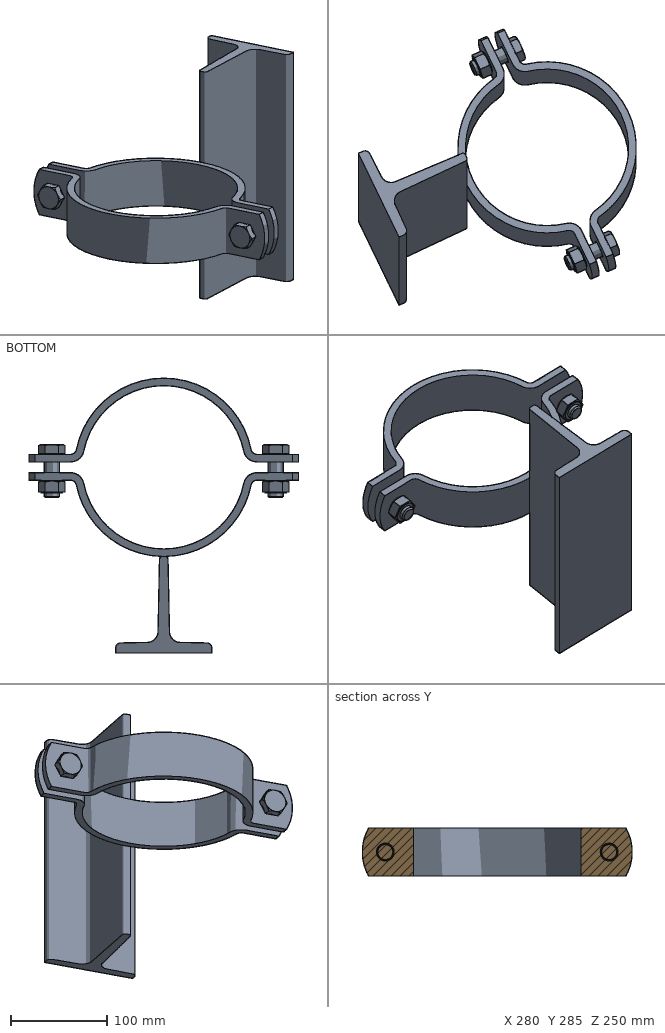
import cadquery as cq
import math

BAND_THICKNESS = 8.0
BAND_HEIGHT = 50.0
RING_OUTER_RADIUS = 92.5
RING_INNER_RADIUS = RING_OUTER_RADIUS - BAND_THICKNESS
CLAMP_GAP = 11.0
CLAMP_LENGTH = 280.0
EAR_END_RADIUS = 50.0
BEND_INNER_RADIUS = 6.0
BEND_OUTER_RADIUS = BEND_INNER_RADIUS + BAND_THICKNESS

BOLT_SPACING = 232.0
BOLT_DIAMETER = 16.0
BOLT_TIP_LENGTH = 1.5
BOLT_TIP_DIAMETER = BOLT_DIAMETER - 2 * BOLT_TIP_LENGTH
BOLT_PROTRUSION = 5.0
BOLT_HOLE_DIAMETER = 18.0
HEX_SIDES = 6
HEX_ACROSS_FLATS = 24.0
HEX_FACE_DIAMETER = HEX_ACROSS_FLATS
HEX_CHAMFER_ANGLE = 30.0
WASHER_FACE_DIAMETER = 22.0
WASHER_FACE_HEIGHT = 0.8
HEAD_HEIGHT = 10.0
NUT_HEIGHT = 13.0

TEE_WIDTH = 100.0
TEE_DEPTH = 100.0
TEE_THICKNESS = 11.0
TEE_LENGTH = 250.0
TEE_TAPER = 0.02
ROOT_RADIUS = 11.0
FLANGE_TIP_RADIUS = 5.5
WEB_TIP_RADIUS = 3.0
WELD_OVERLAP = 0.05

EAR_INNER_Y = CLAMP_GAP / 2
EAR_OUTER_Y = EAR_INNER_Y + BAND_THICKNESS


def make_half_clamp():
    """The +Y half of the clamp: half ring, bends and two ears."""
    bend_y = EAR_OUTER_Y + BEND_INNER_RADIUS
    bend_x = math.sqrt((RING_OUTER_RADIUS + BEND_INNER_RADIUS) ** 2 - bend_y**2)
    ring_angle = math.atan2(bend_y, bend_x)
    bend_mid_angle = (ring_angle + math.pi + 3 * math.pi / 2) / 2
    ear_x = CLAMP_LENGTH / 2

    def on_ring(radius, side):
        return (side * radius * math.cos(ring_angle), radius * math.sin(ring_angle))

    def on_bend_middle(radius, side):
        x = bend_x + radius * math.cos(bend_mid_angle)
        y = bend_y + radius * math.sin(bend_mid_angle)
        return (side * x, y)

    profile = (
        cq.Workplane("XY")
        .moveTo(ear_x, EAR_OUTER_Y)
        .lineTo(bend_x, EAR_OUTER_Y)
        .threePointArc(on_bend_middle(BEND_INNER_RADIUS, 1), on_ring(RING_OUTER_RADIUS, 1))
        .threePointArc((0, RING_OUTER_RADIUS), on_ring(RING_OUTER_RADIUS, -1))
        .threePointArc(on_bend_middle(BEND_INNER_RADIUS, -1), (-bend_x, EAR_OUTER_Y))
        .lineTo(-ear_x, EAR_OUTER_Y)
        .lineTo(-ear_x, EAR_INNER_Y)
        .lineTo(-bend_x, EAR_INNER_Y)
        .threePointArc(on_bend_middle(BEND_OUTER_RADIUS, -1), on_ring(RING_INNER_RADIUS, -1))
        .threePointArc((0, RING_INNER_RADIUS), on_ring(RING_INNER_RADIUS, 1))
        .threePointArc(on_bend_middle(BEND_OUTER_RADIUS, 1), (bend_x, EAR_INNER_Y))
        .lineTo(ear_x, EAR_INNER_Y)
        .close()
    )
    band = profile.extrude(BAND_HEIGHT / 2, both=True)
    holes = (
        cq.Workplane("XZ")
        .pushPoints([(-BOLT_SPACING / 2, 0), (BOLT_SPACING / 2, 0)])
        .circle(BOLT_HOLE_DIAMETER / 2)
        .extrude(-RING_INNER_RADIUS)
    )
    return band.intersect(make_ear_outline()).cut(holes)


def make_ear_outline():
    """Block with the round ear ends, seen along Y, used to trim the band."""
    half_height = BAND_HEIGHT / 2
    end_x = CLAMP_LENGTH / 2
    end_rise = EAR_END_RADIUS - math.sqrt(EAR_END_RADIUS**2 - half_height**2)
    corner_x = end_x - end_rise
    return (
        cq.Workplane("XZ")
        .moveTo(-corner_x, -half_height)
        .lineTo(corner_x, -half_height)
        .threePointArc((end_x, 0), (corner_x, half_height))
        .lineTo(-corner_x, half_height)
        .threePointArc((-end_x, 0), (-corner_x, -half_height))
        .close()
        .extrude(RING_OUTER_RADIUS, both=True)
    )


def make_hexagon(height):
    """Hexagon standing along +Y from Y = 0: a round washer face first, a chamfered end last."""
    corner_radius = HEX_ACROSS_FLATS / 2 / math.cos(math.pi / HEX_SIDES)
    face_radius = HEX_FACE_DIAMETER / 2
    washer_radius = WASHER_FACE_DIAMETER / 2
    chamfer_depth = (corner_radius - face_radius) * math.tan(math.radians(HEX_CHAMFER_ANGLE))
    hexagon = cq.Workplane("XZ").polygon(HEX_SIDES, 2 * corner_radius).extrude(-height)
    envelope = (
        cq.Workplane("XY")
        .moveTo(0, 0)
        .lineTo(washer_radius, 0)
        .lineTo(washer_radius, WASHER_FACE_HEIGHT)
        .lineTo(corner_radius, WASHER_FACE_HEIGHT)
        .lineTo(corner_radius, height - chamfer_depth)
        .lineTo(face_radius, height)
        .lineTo(0, height)
        .close()
        .revolve(360, (0, 0, 0), (0, 1, 0))
    )
    return hexagon.intersect(envelope)


def make_bolt():
    """Bolt with head and nut, its axis on the Y axis; the nut has a washer face at both ends."""
    tip_y = EAR_OUTER_Y + NUT_HEIGHT + BOLT_PROTRUSION
    shank = (
        cq.Workplane("XY")
        .moveTo(0, -EAR_OUTER_Y)
        .lineTo(BOLT_DIAMETER / 2, -EAR_OUTER_Y)
        .lineTo(BOLT_DIAMETER / 2, tip_y - BOLT_TIP_LENGTH)
        .lineTo(BOLT_TIP_DIAMETER / 2, tip_y)
        .lineTo(0, tip_y)
        .close()
        .revolve(360, (0, 0, 0), (0, 1, 0))
    )
    head = make_hexagon(HEAD_HEIGHT).mirror("XZ").translate((0, -EAR_OUTER_Y, 0))
    nut_top_y = EAR_OUTER_Y + NUT_HEIGHT
    nut = make_hexagon(NUT_HEIGHT - WASHER_FACE_HEIGHT).mirror("XZ").translate((0, nut_top_y, 0))
    nut_seat = (
        cq.Workplane("XZ", origin=(0, EAR_OUTER_Y, 0))
        .circle(WASHER_FACE_DIAMETER / 2)
        .extrude(-WASHER_FACE_HEIGHT)
    )
    return shank.union(head).union(nut).union(nut_seat)


def make_tee():
    """T-section with its flange at +Y, its faces tapered.

    Nominal thickness is met at a quarter of the flange width and at half the section depth.
    """
    back_y = RING_OUTER_RADIUS + TEE_DEPTH
    tip_y = RING_OUTER_RADIUS - WELD_OVERLAP
    half_width = TEE_WIDTH / 2

    def flange_face_y(x):
        return back_y - TEE_THICKNESS + TEE_TAPER * (x - TEE_WIDTH / 4)

    def web_face_x(y):
        return TEE_THICKNESS / 2 + TEE_TAPER * (y - (back_y - TEE_DEPTH / 2))

    root_x = web_face_x(flange_face_y(0)) / (1 - TEE_TAPER**2)
    root = (root_x, flange_face_y(root_x))
    web_tip = (web_face_x(tip_y), tip_y)
    flange_tip = (half_width, flange_face_y(half_width))

    section = (
        cq.Workplane("XY")
        .moveTo(0, tip_y)
        .lineTo(*web_tip)
        .lineTo(*root)
        .lineTo(*flange_tip)
        .lineTo(half_width, back_y)
        .lineTo(0, back_y)
        .close()
    )
    half = section.extrude(TEE_LENGTH / 2, both=True)
    rounded_corners = (
        (root, ROOT_RADIUS),
        (flange_tip, FLANGE_TIP_RADIUS),
        (web_tip, WEB_TIP_RADIUS),
    )
    for corner, radius in rounded_corners:
        edge = cq.selectors.NearestToPointSelector((corner[0], corner[1], 0))
        half = half.edges("|Z").edges(edge).fillet(radius)
    return half.union(half.mirror("YZ"))


upper_half = make_half_clamp()
result = make_tee().union(upper_half).union(upper_half.mirror("XZ"))
bolt = make_bolt()
for bolt_x in (-BOLT_SPACING / 2, BOLT_SPACING / 2):
    result = result.union(bolt.translate((bolt_x, 0, 0)))